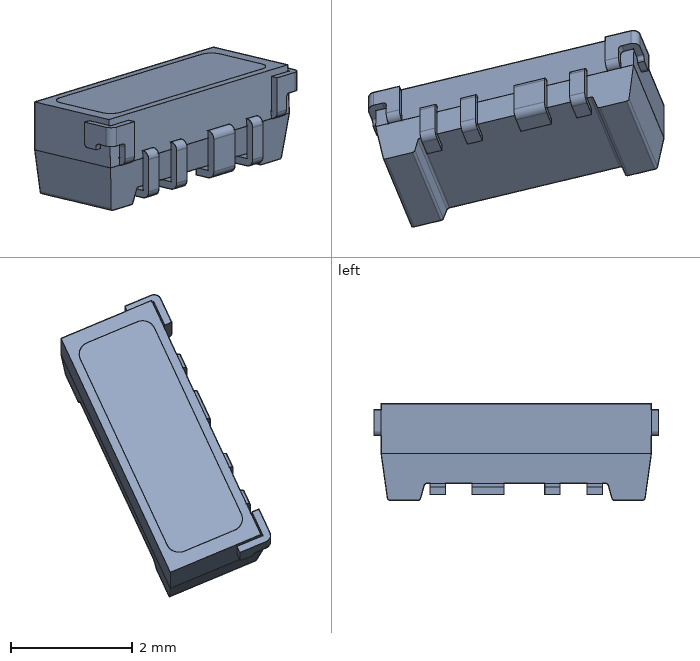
import cadquery as cq

total_width = 1.8
total_length = 4.7
total_height = 1.6

sheet = 0.125
end_plate_thickness = 0.118
anchor_depth = 0.14

half_length = total_length / 2 - end_plate_thickness
parting_z = 0.775
parting_width = total_width - sheet
top_width = 1.635

base_bottom_left = 0.035
base_bottom_right = 1.59
foot_outer_y = 2.125
foot_inner_y = 1.59
notch_top_y = 1.51
notch_height = 0.28
foot_fillet = 0.045

lens_left = 0.145
lens_right = 1.485
lens_half_length = 1.99
lens_corner = 0.215

narrow_lead = 0.26
wide_lead = 0.53
lead_places = [(-1.295, narrow_lead), (-0.595, narrow_lead), (0.465, wide_lead), (1.295, narrow_lead)]
lead_bottom = 0.095
lead_foot_end = 1.41
bend_radius = sheet

terminal_left = 1.205
terminal_top = 1.5
terminal_reach = 0.57
terminal_step_z = 1.175
tab_bottom = 1.07
tab_right = 1.45
tab_fillet = 0.06
end_bend_radius = 0.12
step_fillet = 0.065

anchor_end = parting_width - anchor_depth
anchor_top = parting_z + sheet
leg_outer_y = half_length - (parting_width - tab_right)
leg_inner_y = total_length / 2 - terminal_reach


def make_lens():
    """Rounded block reaching from the parting plane to the top of the frame."""
    return (
        cq.Workplane("XY", origin=((lens_left + lens_right) / 2, 0, parting_z))
        .rect(lens_right - lens_left, 2 * lens_half_length)
        .extrude(total_height - parting_z)
        .edges("|Z")
        .fillet(lens_corner)
    )


def make_frame(lens, metal_parts):
    """Upper housing with a sloping lead side, an opening for the lens and seats for the metal parts."""
    frame = (
        cq.Workplane("XZ")
        .polyline([(0, parting_z), (parting_width, parting_z), (top_width, total_height), (0, total_height)])
        .close()
        .extrude(half_length, both=True)
        .cut(lens)
    )
    for part in metal_parts:
        frame = frame.cut(part)
    return frame


def make_base():
    """Lower housing, tapered on all four sides, with a foot at each end."""
    right_half = [
        (notch_top_y, notch_height),
        (foot_inner_y, 0),
        (foot_outer_y, 0),
        (half_length, parting_z),
    ]
    left_half = [(-y, z) for y, z in reversed(right_half)]
    long_profile = (
        cq.Workplane("YZ")
        .polyline(right_half + left_half)
        .close()
        .extrude(parting_width)
        .edges("|X")
        .edges("not >Z")
        .fillet(foot_fillet)
    )
    cross_section = (
        cq.Workplane("XZ")
        .polyline([(base_bottom_left, 0), (base_bottom_right, 0), (parting_width, parting_z), (0, parting_z)])
        .close()
        .extrude(half_length, both=True)
    )
    return long_profile.intersect(cross_section)


def make_lead(center_y, width):
    """Strip that leaves the frame at the parting plane, bends down and turns in under the base."""
    foot_top = lead_bottom + sheet
    outline = [
        (anchor_end, parting_z),
        (parting_width, parting_z),
        (parting_width, foot_top),
        (lead_foot_end, foot_top),
        (lead_foot_end, lead_bottom),
        (total_width, lead_bottom),
        (total_width, anchor_top),
        (anchor_end, anchor_top),
    ]
    return (
        cq.Workplane("XZ", origin=(0, center_y, 0))
        .polyline(outline)
        .close()
        .extrude(width / 2, both=True)
        .edges("|Y and >X")
        .fillet(bend_radius)
    )


def make_terminal():
    """Terminal of the +Y end: end plate with a tab, corner bend, and a leg bent into the frame."""
    end_y = total_length / 2
    end_plate_outline = [
        (terminal_left, terminal_top),
        (total_width, terminal_top),
        (total_width, terminal_step_z),
        (tab_right, terminal_step_z),
        (tab_right, tab_bottom),
        (terminal_left, tab_bottom),
    ]
    end_plate = (
        cq.Workplane("XZ", origin=(0, end_y, 0))
        .polyline(end_plate_outline)
        .close()
        .extrude(end_plate_thickness)
    )
    end_plate = end_plate.edges("|Y and <X and <Z").fillet(tab_fillet)
    step_corner = (tab_right, end_y - end_plate_thickness / 2, terminal_step_z)
    end_plate = end_plate.edges(cq.selectors.NearestToPointSelector(step_corner)).fillet(tab_fillet)

    side_outline = [
        (end_y, terminal_top),
        (end_y, terminal_step_z),
        (leg_outer_y, terminal_step_z),
        (leg_outer_y, parting_z),
        (leg_inner_y, parting_z),
        (leg_inner_y, terminal_top),
    ]
    side_plate = (
        cq.Workplane("YZ", origin=(parting_width, 0, 0))
        .polyline(side_outline)
        .close()
        .extrude(sheet)
    )
    leg_corner = (parting_width + sheet / 2, leg_outer_y, terminal_step_z)
    side_plate = side_plate.edges(cq.selectors.NearestToPointSelector(leg_corner)).fillet(step_fillet)

    anchor = (
        cq.Workplane("XY")
        .box(anchor_depth, leg_outer_y - leg_inner_y, sheet, centered=False)
        .translate((anchor_end, leg_inner_y, parting_z))
    )
    bent_leg = side_plate.union(anchor).edges("|Y and >X and <Z").fillet(bend_radius)

    terminal = end_plate.union(bent_leg)
    return terminal.edges("|Z and >X and >Y").fillet(end_bend_radius)


lens = make_lens()
base = make_base()
leads = [make_lead(center_y, width) for center_y, width in lead_places]
rear_terminal = make_terminal()
terminals = [rear_terminal, rear_terminal.mirror("XZ")]
frame = make_frame(lens, leads + terminals)

bodies = [frame, base, lens, *leads, *terminals]
result = cq.Compound.makeCompound([body.solids().val() for body in bodies])